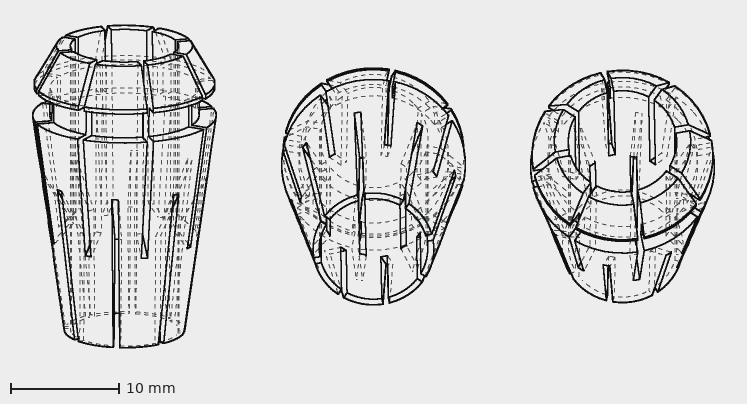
import cadquery as cq
import math

length = 27.5
bore_radius = 5.0

body_height = 20.75
body_top_radius = 8.5
body_half_angle = 8.0
body_bottom_radius = body_top_radius - body_height * math.tan(math.radians(body_half_angle))

neck_radius = 6.9
head_bottom = 23.5
head_rim_top = 23.92
head_radius = 8.35
head_half_angle = 30.0
head_top_radius = head_radius - (length - head_rim_top) * math.tan(math.radians(head_half_angle))

slot_count = 8
slot_pitch = 360.0 / slot_count
slot_width = 0.6
slot_tilt = -0.5
tilt_height = 9.08
upper_slot_floor = 9.0
upper_floor_angle = -45.0
lower_slot_roof = 15.0
lower_roof_angle = 60.0

cut_overrun = 1.38
cut_inner = bore_radius - cut_overrun
cut_outer = body_top_radius + cut_overrun


def taper_radius(height):
    """Outer radius of the tapered body at a height."""
    return body_bottom_radius + height * math.tan(math.radians(body_half_angle))


def collet_blank():
    """Turned sleeve without slots."""
    return (
        cq.Workplane("XZ")
        .moveTo(bore_radius, 0)
        .lineTo(body_bottom_radius, 0)
        .lineTo(body_top_radius, body_height)
        .lineTo(neck_radius, body_height)
        .lineTo(neck_radius, head_bottom)
        .lineTo(head_radius, head_bottom)
        .lineTo(head_radius, head_rim_top)
        .lineTo(head_top_radius, length)
        .lineTo(bore_radius, length)
        .close()
        .revolve(360, (0, 0, 0), (0, 1, 0))
    )


def slot_cutter(open_end, end_height, end_angle):
    """Slot along +X from an open end to a sloping end that meets the taper at end_height."""
    end_slope = math.tan(math.radians(end_angle))
    meet_radius = taper_radius(end_height)
    inner_end = end_height + end_slope * (cut_inner - meet_radius)
    outer_end = end_height + end_slope * (cut_outer - meet_radius)
    outline = [
        (cut_inner, open_end),
        (cut_outer, open_end),
        (cut_outer, outer_end),
        (cut_inner, inner_end),
    ]
    cutter = cq.Workplane("XZ").polyline(outline).close().extrude(slot_width / 2, both=True)
    return cutter.rotate((0, 0, tilt_height), (1, 0, tilt_height), slot_tilt)


upper_slot = slot_cutter(length + cut_overrun, upper_slot_floor, upper_floor_angle)
lower_slot = slot_cutter(-cut_overrun, lower_slot_roof, lower_roof_angle)

result = collet_blank()
for index in range(slot_count):
    angle = index * slot_pitch
    result = result.cut(upper_slot.rotate((0, 0, 0), (0, 0, 1), angle))
    result = result.cut(lower_slot.rotate((0, 0, 0), (0, 0, 1), angle + slot_pitch / 2))